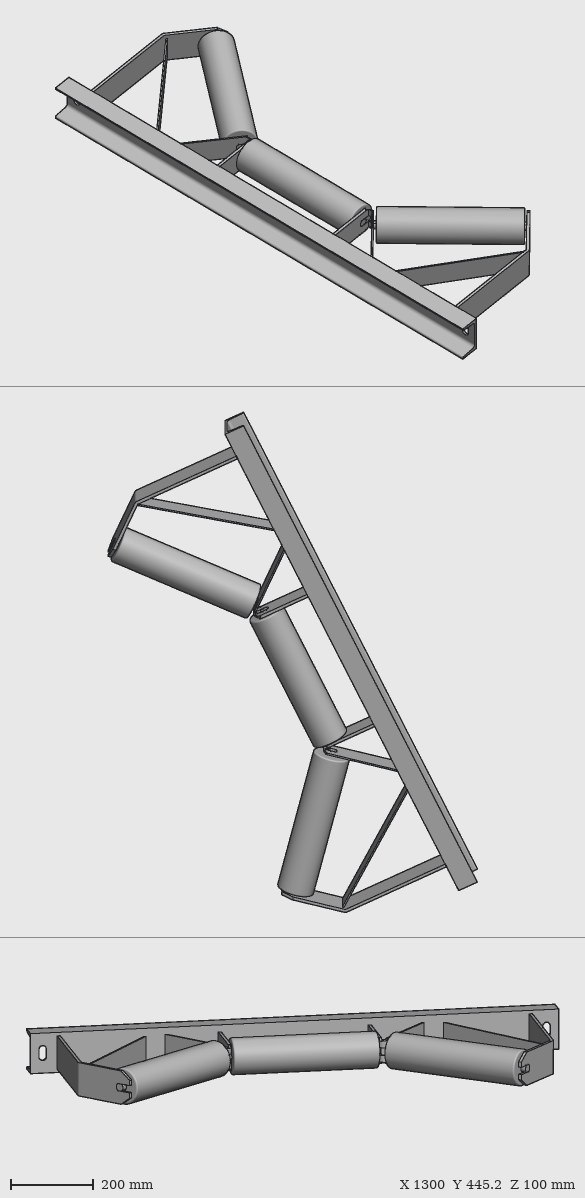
import cadquery as cq
import math

beam_length = 1300.0
beam_height = 100.0
web_thickness = 6.0
flange_thickness = 8.5
flange_slope = 0.08
root_radius = 8.5
toe_radius = 4.5
bolt_slot_width = 18.0
bolt_slot_height = 36.0
bolt_slot_inset = 30.0

trough_angle = 40.0
plate_thickness = 8.0

roller_diameter = 90.0
roller_length = 359.0
roller_edge_radius = 4.0
axle_diameter = 21.0
axle_flat_width = 18.0
middle_axis_y = 117.0
side_center_x = 355.0
side_center_y = 247.0

outer_post_x = 585.0
outer_post_height = 272.0
outer_bracket_width = 83.0
outer_bend_radius = 10.0
tip_above_axle = 31.0
tip_width = 44.0
tip_bevel_slope = 1.4

inner_post_x = 181.0
inner_bracket_height = 142.0
inner_bracket_width = 65.0
inner_bend_radius = 13.0

brace_width = 60.0
brace_foot_x = 367.0
brace_top_distance = 8.0

strut_thickness = 4.0

flange_width = beam_height / 2
cutter_depth = 4 * plate_thickness
angle = math.radians(trough_angle)
axis_x, axis_y = -math.cos(angle), math.sin(angle)
up_x, up_y = math.sin(angle), math.cos(angle)


def prism(points, width):
    """Plate of the given width along Z, from its edge outline in XY."""
    return cq.Workplane("XY").polyline(points).close().extrude(width / 2, both=True)


def make_beam():
    """Channel with tapered flanges pointing to -Y and a bolt slot near each end."""
    half = beam_height / 2
    taper = flange_slope * flange_width / 2
    root_z = half - flange_thickness - taper + flange_slope * web_thickness
    toe_z = half - flange_thickness + taper
    beam = (
        cq.Workplane("YZ")
        .polyline([
            (0, -half), (-flange_width, -half), (-flange_width, -toe_z), (-web_thickness, -root_z),
            (-web_thickness, root_z), (-flange_width, toe_z), (-flange_width, half), (0, half),
        ])
        .close()
        .extrude(beam_length / 2, both=True)
    )
    for sign in (-1, 1):
        root = cq.selectors.NearestToPointSelector((0, -web_thickness, sign * root_z))
        beam = beam.edges(root).fillet(root_radius)
        toe = cq.selectors.NearestToPointSelector((0, -flange_width, sign * toe_z))
        beam = beam.edges(toe).fillet(toe_radius)
    slot_x = beam_length / 2 - bolt_slot_inset
    slots = (
        cq.Workplane("XZ")
        .pushPoints([(-slot_x, 0), (slot_x, 0)])
        .slot2D(bolt_slot_height, bolt_slot_width, 90)
        .extrude(web_thickness)
    )
    return beam.cut(slots)


def make_roller(center_x, center_y, tilt, low_end, high_end):
    """Roller with its axle; the flattened axle ends reach low_end and high_end from the centre."""
    shell = (
        cq.Workplane("YZ").workplane(offset=-roller_length / 2)
        .circle(roller_diameter / 2).extrude(roller_length)
        .edges().fillet(roller_edge_radius)
    )
    axle = (
        cq.Workplane("YZ").workplane(offset=-low_end)
        .circle(axle_diameter / 2).extrude(low_end + high_end)
    )
    flats = cq.Workplane("XY").box(2 * (low_end + high_end), axle_diameter, axle_flat_width)
    roller = shell.union(axle.intersect(flats))
    return roller.rotate((0, 0, 0), (0, 0, 1), tilt).translate((center_x, center_y, 0))


def axle_slot(axle_x, axle_y, tilt):
    """Slot for an axle end, round below and open above; its length runs along Y before the tilt."""
    run = 2 * tip_above_axle
    bottom = cq.Workplane("YZ").circle(axle_diameter / 2).extrude(cutter_depth / 2, both=True)
    opening = cq.Workplane("XY").box(cutter_depth, run, axle_diameter).translate((0, run / 2, 0))
    sides = cq.Workplane("XY").box(cutter_depth, 2 * run, axle_flat_width)
    slot = bottom.union(opening).intersect(sides)
    return slot.rotate((0, 0, 0), (0, 0, 1), tilt).translate((axle_x, axle_y, 0))


def tip_corners(axle_x, axle_y, tilt, width):
    """Two wedges that bevel the corners of a plate of the given width above an axle."""
    corner_length = (width - tip_width) / 2 * tip_bevel_slope
    wedges = cq.Workplane("XY")
    for sign in (-1, 1):
        wedge = (
            cq.Workplane("YZ")
            .polyline([
                (tip_above_axle, sign * tip_width / 2),
                (tip_above_axle, sign * width / 2),
                (tip_above_axle - corner_length, sign * width / 2),
            ])
            .close()
            .extrude(cutter_depth / 2, both=True)
        )
        wedges = wedges.add(wedge)
    wedges = wedges.combine()
    return wedges.rotate((0, 0, 0), (0, 0, 1), tilt).translate((axle_x, axle_y, 0))


def axis_distance(x, y):
    """Distance of a point from the left roller's centre, measured up along its axis."""
    return (x + side_center_x) * axis_x + (y - side_center_y) * axis_y


outer_reach = axis_distance(-outer_post_x, outer_post_height)
outer_axle_x = -side_center_x + outer_reach * axis_x
outer_axle_y = side_center_y + outer_reach * axis_y
corner_x = -outer_post_x + plate_thickness
corner_y = outer_post_height - plate_thickness * math.tan(angle / 2)


def make_outer_bracket():
    """Post bent inward at its top, with a bevelled, slotted tip."""
    tip_x = outer_axle_x + tip_above_axle * up_x
    tip_y = outer_axle_y + tip_above_axle * up_y
    bracket = prism(
        [
            (-outer_post_x, 0),
            (-outer_post_x, outer_post_height),
            (tip_x, tip_y),
            (tip_x - plate_thickness * axis_x, tip_y - plate_thickness * axis_y),
            (corner_x, corner_y),
            (corner_x, 0),
        ],
        outer_bracket_width,
    )
    bend_corners = (
        (-outer_post_x, outer_post_height, outer_bend_radius),
        (corner_x, corner_y, outer_bend_radius - plate_thickness),
    )
    for x, y, radius in bend_corners:
        bend_edge = cq.selectors.NearestToPointSelector((x, y, 0))
        bracket = bracket.edges("|Z").edges(bend_edge).fillet(radius)
    bracket = bracket.cut(tip_corners(outer_axle_x, outer_axle_y, -trough_angle, outer_bracket_width))
    return bracket.cut(axle_slot(outer_axle_x, outer_axle_y, -trough_angle))


bend_x = -inner_post_x - inner_bend_radius
bend_y = inner_bracket_height - inner_bend_radius
inner_reach = strut_thickness - inner_bend_radius - axis_distance(bend_x, bend_y)


def make_inner_bracket():
    """Post beside the middle roller, bent over at its top into a thinner leg under the side roller."""
    leg_turn = math.pi - angle
    inside_radius = inner_bend_radius - strut_thickness
    post_turn = math.acos((inner_bend_radius - plate_thickness) / inside_radius)

    def around_bend(radius, turn):
        return bend_x + radius * math.cos(turn), bend_y + radius * math.sin(turn)

    def leg_foot(radius):
        x, y = around_bend(radius, leg_turn)
        return x - y * up_x / up_y, 0

    post_inside_x = -inner_post_x - plate_thickness
    bracket = (
        cq.Workplane("XY")
        .moveTo(-inner_post_x, 0)
        .lineTo(-inner_post_x, bend_y)
        .threePointArc(around_bend(inner_bend_radius, leg_turn / 2), around_bend(inner_bend_radius, leg_turn))
        .lineTo(*leg_foot(inner_bend_radius))
        .lineTo(*leg_foot(inside_radius))
        .lineTo(*around_bend(inside_radius, leg_turn))
        .threePointArc(around_bend(inside_radius, math.pi / 2), around_bend(inside_radius, post_turn))
        .lineTo(post_inside_x, 0)
        .close()
        .extrude(inner_bracket_width / 2, both=True)
    )
    post_x = -inner_post_x - plate_thickness / 2
    leg_x = -side_center_x - inner_reach * axis_x
    leg_y = side_center_y - inner_reach * axis_y
    for x, y, tilt in ((post_x, middle_axis_y, 0), (leg_x, leg_y, -trough_angle)):
        bracket = bracket.cut(tip_corners(x, y, tilt, inner_bracket_width))
        bracket = bracket.cut(axle_slot(x, y, tilt))
    return bracket


def make_brace():
    """Flat strut from just above the bend of the outer bracket down to the beam."""
    top_x = corner_x + brace_top_distance * up_x
    top_y = corner_y + brace_top_distance * up_y
    slope = math.atan2(top_y, -brace_foot_x - top_x)
    plate_joint = strut_thickness / math.sin(slope + math.pi / 2 - angle)
    foot_joint = strut_thickness / math.sin(slope)
    return prism(
        [
            (top_x, top_y),
            (-brace_foot_x, 0),
            (-brace_foot_x - foot_joint, 0),
            (top_x - plate_joint * up_x, top_y - plate_joint * up_y),
        ],
        brace_width,
    )


beam = make_beam()
middle_reach = inner_post_x + plate_thickness
middle_roller = make_roller(0, middle_axis_y, 0, middle_reach, middle_reach)
left_bodies = [
    make_outer_bracket(),
    make_inner_bracket(),
    make_brace(),
    make_roller(-side_center_x, side_center_y, -trough_angle, outer_reach, inner_reach),
]
bodies = [beam.val(), middle_roller.val()]
for body in left_bodies:
    bodies.append(body.val())
    bodies.append(body.mirror("YZ").val())

result = cq.Compound.makeCompound(bodies)